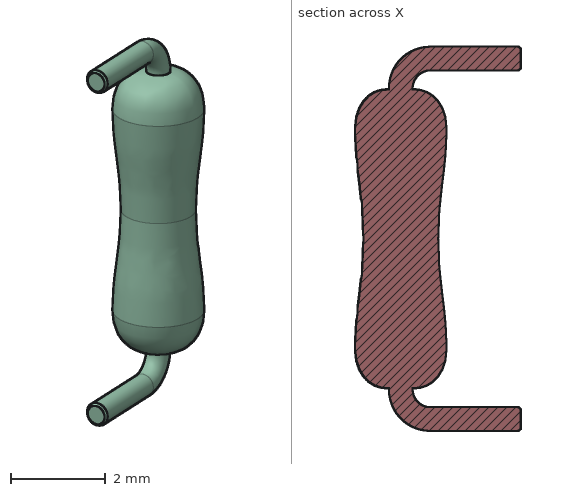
import cadquery as cq

total_height = 8.13
body_diameter = 1.95
waist_diameter = 1.59
body_length = 6.325
total_depth = 3.51
lead_diameter = 0.51
lead_bend_radius = 0.63
lead_tip_chamfer = 0.05

bulge_height = 2.3
flank_radius = 0.895
flank_height = 1.25
shoulder_radius = 0.77
shoulder_height = 2.935

body_radius = body_diameter / 2
waist_radius = waist_diameter / 2
body_end = body_length / 2
lead_radius = lead_diameter / 2
lead_height = total_height / 2 - lead_radius
lead_reach = total_depth - body_radius
bend_start = lead_height - lead_bend_radius


def make_body():
    """Waisted, round-ended body, symmetric about its middle."""
    waist = (waist_radius, 0)
    flank = (flank_radius, flank_height)
    bulge = (body_radius, bulge_height)
    shoulder = (shoulder_radius, shoulder_height)
    end_edge = (lead_radius, body_end)
    outline = (
        cq.Workplane("XZ")
        .moveTo(*waist)
        .spline([flank, bulge], tangents=[(0, 1), (0, 1)], includeCurrent=True)
        .spline([shoulder, end_edge], tangents=[(0, 1), (-1, 0)], includeCurrent=True)
        .lineTo(0, body_end)
        .lineTo(0, 0)
        .close()
    )
    upper_half = outline.revolve(360, (0, 0, 0), (0, 1, 0))
    return upper_half.union(upper_half.mirror("XY"))


def make_upper_lead():
    """Round wire that leaves the body along Z, bends to -Y and ends in a chamfer."""
    stub = cq.Workplane("XY").circle(lead_radius).extrude(bend_start)
    bend = (
        cq.Workplane("XY", origin=(0, 0, bend_start))
        .circle(lead_radius)
        .revolve(90, (0, -lead_bend_radius, 0), (1, -lead_bend_radius, 0))
    )
    straight = (
        cq.Workplane("XZ", origin=(0, -lead_bend_radius, lead_height))
        .circle(lead_radius)
        .extrude(lead_reach - lead_bend_radius)
        .faces("<Y")
        .chamfer(lead_tip_chamfer)
    )
    return stub.union(bend).union(straight)


upper_lead = make_upper_lead()
lower_lead = upper_lead.mirror("XY")
result = make_body().union(upper_lead).union(lower_lead)